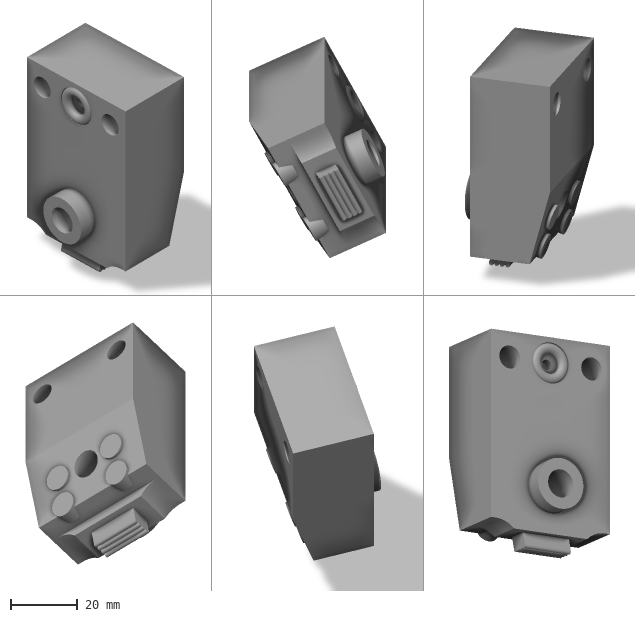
import cadquery as cq
import math


width = 41.25
depth = 25.3
side_height = 58.45
slope_top = 34.45
slope_angle = math.radians(15)

lip_bottom = 61.0
lip_depth = 12.25
lip_half_width = 12.7
scallop_radius = 8.7

tab_bottom = 65.9
tab_width = 15.95
tab_front = 2.7
tab_thickness = 6.6
tooth_count = 4
tooth_length = 0.9
tooth_gap = 0.3

hole_diameter = 7.1
hole_spacing = 28.4
hole_drop = 8.0
boss_diameter = 15.75
boss_length = 6.05
boss_drop = 46.7
bore_diameter = 8.7

ring_outer_diameter = 12.65
ring_section = 3.15
ring_projection = 0.65
port_diameter = 3.15
port_depth = 3.15

button_diameter = 7.9
button_length = 4.9
button_projection = 1.05
button_drops = (46.5, 56.2)
button_x = 10.2

slope_run = math.tan(slope_angle)
seat_depth = ring_section - ring_projection


def extrude_across(sketch, size):
    """Extrude a YZ outline symmetrically along X."""
    return sketch.extrude(size / 2, both=True)


def cylinder_along_y(x, drop, diameter, y_start, y_end):
    """Round bar along Y, centred at x and the given drop below the top face."""
    return cq.Workplane(
        cq.Solid.makeCylinder(
            diameter / 2, y_end - y_start, cq.Vector(x, y_start, -drop), cq.Vector(0, 1, 0)
        )
    )


def make_block():
    foot_depth = depth - slope_run * (side_height - slope_top)
    outline = (
        cq.Workplane("YZ")
        .moveTo(0, 0)
        .lineTo(depth, 0)
        .lineTo(depth, -slope_top)
        .lineTo(foot_depth, -side_height)
        .lineTo(0, -side_height)
        .close()
    )
    return extrude_across(outline, width)


def make_lip():
    """Lip with a concave scallop at each end and a back parallel to the sloped face."""
    height = lip_bottom - side_height
    sweep = math.acos(1 - height / scallop_radius)
    top_half_width = lip_half_width + scallop_radius * math.sin(sweep)
    mid_x = top_half_width - scallop_radius * math.sin(sweep / 2)
    mid_z = -side_height - scallop_radius * (1 - math.cos(sweep / 2))
    front_shape = (
        cq.Workplane("XZ")
        .moveTo(-top_half_width, -side_height)
        .threePointArc((-mid_x, mid_z), (-lip_half_width, -lip_bottom))
        .lineTo(lip_half_width, -lip_bottom)
        .threePointArc((mid_x, mid_z), (top_half_width, -side_height))
        .close()
        .extrude(-lip_depth)
    )
    side_outline = (
        cq.Workplane("YZ")
        .moveTo(0, -side_height)
        .lineTo(lip_depth, -side_height)
        .lineTo(lip_depth - slope_run * height, -lip_bottom)
        .lineTo(0, -lip_bottom)
        .close()
    )
    return front_shape.intersect(extrude_across(side_outline, width))


def make_tab():
    """Tab leaning with the sloped back, ending in a row of round teeth."""
    tooth_width = (tab_thickness - (tooth_count - 1) * tooth_gap) / tooth_count
    tooth_radius = tooth_width / 2
    root_z = -tab_bottom + tooth_length
    round_z = -tab_bottom + tooth_radius
    first_tooth_y = tab_front - slope_run * (-root_z - lip_bottom)
    outline = cq.Workplane("YZ").moveTo(tab_front, -lip_bottom)
    for index in range(tooth_count):
        start = first_tooth_y + index * (tooth_width + tooth_gap)
        end = start + tooth_width
        outline = (
            outline.lineTo(start, root_z)
            .lineTo(start, round_z)
            .threePointArc((start + tooth_radius, -tab_bottom), (end, round_z))
            .lineTo(end, root_z)
        )
    outline = outline.lineTo(tab_front + tab_thickness, -lip_bottom).close()
    return extrude_across(outline, tab_width)


def make_button(x, drop):
    """Round button square to the sloped back, sunk into the housing."""
    outward = cq.Vector(0, math.cos(slope_angle), -math.sin(slope_angle))
    on_slope = cq.Vector(x, depth - slope_run * (drop - slope_top), -drop)
    inner_end = on_slope - outward * (button_length - button_projection)
    return cq.Workplane(cq.Solid.makeCylinder(button_diameter / 2, button_length, inner_end, outward))


def make_housing():
    body = make_block().union(make_lip()).union(make_tab())
    for drop in button_drops:
        for x in (-button_x, button_x):
            body = body.union(make_button(x, drop))
    body = body.union(cylinder_along_y(0, boss_drop, boss_diameter, -boss_length, 0))

    body = body.cut(cylinder_along_y(0, boss_drop, bore_diameter, -boss_length, depth))
    for x in (-hole_spacing / 2, hole_spacing / 2):
        body = body.cut(cylinder_along_y(x, hole_drop, hole_diameter, 0, depth))
    body = body.cut(cylinder_along_y(0, hole_drop, ring_outer_diameter, 0, seat_depth))
    return body.cut(cylinder_along_y(0, hole_drop, port_diameter, seat_depth, seat_depth + port_depth))


def make_sealing_ring():
    """O-ring resting on the floor of its seat."""
    centre = cq.Vector(0, seat_depth - ring_section / 2, -hole_drop)
    centreline_radius = (ring_outer_diameter - ring_section) / 2
    return cq.Workplane(
        cq.Solid.makeTorus(centreline_radius, ring_section / 2, centre, cq.Vector(0, 1, 0))
    )


housing = make_housing()
sealing_ring = make_sealing_ring()
result = cq.Compound.makeCompound([housing.solids().val(), sealing_ring.val()])